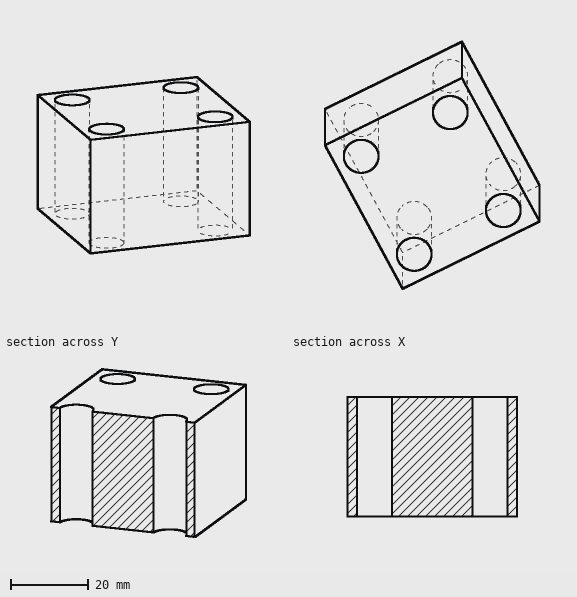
import cadquery as cq

width = 40.0
depth = 44.0
height = 31.0

hole_diameter = 9.0
hole_spacing_x = 26.0
hole_spacing_y = 30.0

block = cq.Workplane("XY").box(width, depth, height)

result = (
    block.faces(">Z")
    .workplane()
    .rarray(hole_spacing_x, hole_spacing_y, 2, 2)
    .hole(hole_diameter)
)